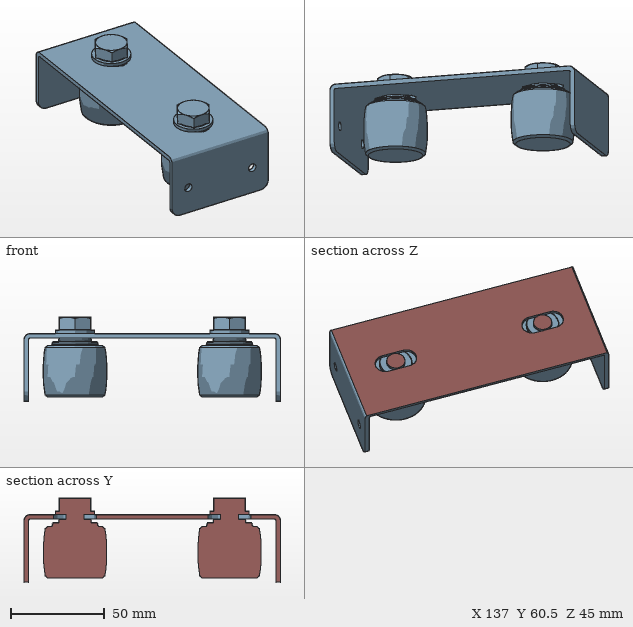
import cadquery as cq
import math

length = 137.0
width = 60.5
total_height = 45.0
sheet = 2.5
bend_radius = 3.4
plate_top = 36.2
flange_corner_radius = 5.1
plate_bottom = plate_top - sheet

flange_hole_diameter = 4.5
flange_hole_offset = 20.1
flange_hole_height = 15.3

buffer_offset = 41.2
slot_width = 10.5
slot_length = 22.5

head_sides = 6
head_across_flats = 17.0
head_top_diameter = 16.9
head_chamfer_angle = 30
bearing_face_diameter = 16.9
bearing_face_thickness = 0.4
washer_diameter = 21.0
washer_thickness = 1.8
shank_diameter = 10.0
washer_top = plate_top + washer_thickness
head_bottom = washer_top + bearing_face_thickness
head_height = total_height - head_bottom

collar_top_diameter = 16.9
collar_diameter = 17.5
collar_chamfer_height = 1.0
ring_top_diameter = 23.4
ring_diameter = 24.4
ring_chamfer_height = 0.8
ring_top = 31.9
ring_foot_chamfer = 0.5
body_diameter = 34.0
body_rim_diameter = 32.0
body_end_diameter = 29.2
body_bottom = 2.2
body_top = 29.9
body_chamfer_height = 1.2
belt_bottom = 12.7
belt_top = 19.5


def make_bracket():
    """Sheet-metal U with rounded bends and rounded flange corners."""
    outer = cq.Workplane("XY").box(length, width, plate_top, centered=(True, True, False))
    outer = outer.edges("|Y and >Z").fillet(bend_radius)
    inner = cq.Workplane("XY").box(
        length - 2 * sheet, width, plate_bottom, centered=(True, True, False)
    )
    inner = inner.edges("|Y and >Z").fillet(bend_radius - sheet)
    bracket = outer.cut(inner)
    bracket = bracket.edges("|X and <Z").fillet(flange_corner_radius)

    slots = (
        cq.Workplane("XY", origin=(0, 0, plate_bottom))
        .pushPoints([(-buffer_offset, 0), (buffer_offset, 0)])
        .slot2D(slot_length, slot_width)
        .extrude(sheet)
    )
    flange_holes = (
        cq.Workplane("YZ", origin=(length / 2 - sheet, 0, 0))
        .pushPoints([(side * flange_hole_offset, flange_hole_height) for side in (-1, 1)])
        .circle(flange_hole_diameter / 2)
        .extrude(sheet)
    )
    return bracket.cut(slots).cut(flange_holes)


def disc(diameter, bottom, top):
    """Upright cylinder on the Z axis between two heights."""
    return cq.Workplane("XY", origin=(0, 0, bottom)).circle(diameter / 2).extrude(top - bottom)


def make_bolt():
    """Chamfered hexagon head on a thin bearing face, washer and shank through the slot."""
    head = (
        cq.Workplane("XY", origin=(0, 0, head_bottom))
        .polygon(head_sides, head_across_flats, circumscribed=True)
        .extrude(head_height)
    )
    cone_spread = head_height / math.tan(math.radians(head_chamfer_angle))
    cone_base_radius = head_top_diameter / 2 + cone_spread
    trimming_cone = (
        cq.Workplane("XZ")
        .polyline([
            (0, head_bottom),
            (cone_base_radius, head_bottom),
            (head_top_diameter / 2, total_height),
            (0, total_height),
        ])
        .close()
        .revolve(360, (0, 0, 0), (0, 1, 0))
    )
    bearing_face = disc(bearing_face_diameter, washer_top, head_bottom)
    washer = disc(washer_diameter, plate_top, washer_top)
    shank = disc(shank_diameter, plate_bottom, plate_top)
    return head.intersect(trimming_cone).union(bearing_face).union(washer).union(shank)


def bulge_point(rim, belt_edge_height):
    """Middle of the arc from a body rim that meets the belt tangentially at its edge."""
    rim_radius, rim_height = rim
    rise = abs(rim_height - belt_edge_height)
    inset = body_diameter / 2 - rim_radius
    arc_radius = (rise**2 + inset**2) / (2 * inset)
    half_angle = math.asin(rise / arc_radius) / 2
    direction = math.copysign(1, rim_height - belt_edge_height)
    return (
        body_diameter / 2 - arc_radius * (1 - math.cos(half_angle)),
        belt_edge_height + direction * arc_radius * math.sin(half_angle),
    )


def make_buffer():
    """Barrel-shaped body with a stepped ring and a collar that bears on the plate."""
    lower_rim = (body_rim_diameter / 2, body_bottom + body_chamfer_height)
    upper_rim = (body_rim_diameter / 2, body_top - body_chamfer_height)
    belt_radius = body_diameter / 2
    profile = (
        cq.Workplane("XZ")
        .moveTo(0, body_bottom)
        .lineTo(body_end_diameter / 2, body_bottom)
        .lineTo(*lower_rim)
        .threePointArc(bulge_point(lower_rim, belt_bottom), (belt_radius, belt_bottom))
        .lineTo(belt_radius, belt_top)
        .threePointArc(bulge_point(upper_rim, belt_top), upper_rim)
        .lineTo(body_end_diameter / 2, body_top)
        .lineTo(ring_diameter / 2 + ring_foot_chamfer, body_top)
        .lineTo(ring_diameter / 2, body_top + ring_foot_chamfer)
        .lineTo(ring_diameter / 2, ring_top - ring_chamfer_height)
        .lineTo(ring_top_diameter / 2, ring_top)
        .lineTo(collar_diameter / 2, ring_top)
        .lineTo(collar_diameter / 2, plate_bottom - collar_chamfer_height)
        .lineTo(collar_top_diameter / 2, plate_bottom)
        .lineTo(0, plate_bottom)
        .close()
    )
    return profile.revolve(360, (0, 0, 0), (0, 1, 0))


result = make_bracket()
mount = make_buffer().union(make_bolt())
for side in (-1, 1):
    result = result.union(mount.translate((side * buffer_offset, 0, 0)))